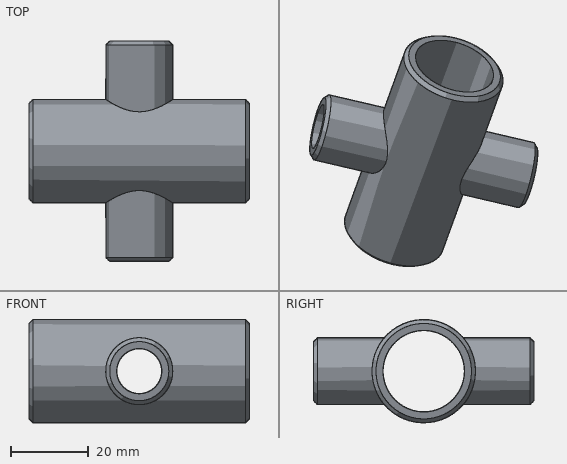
import cadquery as cq

pipe_length = 56.9
run_diameter = 26.7
run_bore = 20.95
branch_diameter = 17.3
branch_bore = 11.55
end_chamfer = 1.0


def centered_cylinder(plane, diameter):
    """Full-length cylinder along the plane normal, centered on the origin."""
    return cq.Workplane(plane).circle(diameter / 2).extrude(pipe_length / 2, both=True)


def chamfered_bar(plane, diameter, end_faces):
    """Solid bar with its two outer end rims chamfered."""
    return centered_cylinder(plane, diameter).faces(end_faces).edges().chamfer(end_chamfer)


run = chamfered_bar("YZ", run_diameter, "<X or >X")
branch = chamfered_bar("XZ", branch_diameter, "<Y or >Y")
body = run.union(branch)

result = body.cut(centered_cylinder("YZ", run_bore)).cut(centered_cylinder("XZ", branch_bore))